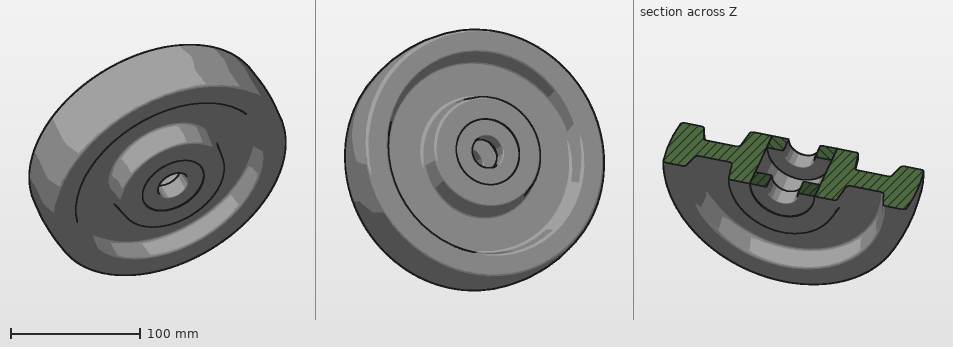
import cadquery as cq
import math

WHEEL_RADIUS = 100.0
RIM_HALF_WIDTH = 25.0
SHOULDER_RADIUS = 98.0
RIM_EDGE_FILLET = 3.0

WEB_HALF_THICKNESS = 10.0
RECESS_MOUTH_RADIUS = 79.8
RECESS_FLOOR_RADIUS = 75.5
RECESS_FILLET = 3.0

HUB_HALF_LENGTH = 30.0
HUB_FACE_RADIUS = 43.5
HUB_ROOT_RADIUS = 46.5
HUB_EDGE_FILLET = 2.5
HUB_ROOT_FILLET = 3.0

BEARING_RADIUS = 26.0
BEARING_LENGTH = 15.0
BEARING_BORE_RADIUS = 12.5
BEARING_EDGE_FILLET = 1.0


def revolve_about_x(profile):
    """Revolve a closed profile, with X along the axis and Y as radius."""
    return profile.close().revolve(360, (0, 0, 0), (1, 0, 0))


def circle_edges(wheel, half_width, radius):
    """Pick the circular edges of the given radius at both +X and -X."""
    tolerance = 0.02

    def matches(edge):
        return (
            edge.geomType() == "CIRCLE"
            and math.isclose(abs(edge.Center().x), half_width, abs_tol=tolerance)
            and math.isclose(edge.radius(), radius, abs_tol=tolerance)
        )

    return wheel.newObject([edge for edge in wheel.edges().vals() if matches(edge)])


def make_wheel():
    wheel = revolve_about_x(
        cq.Workplane("XY")
        .moveTo(-HUB_HALF_LENGTH, 0)
        .lineTo(-HUB_HALF_LENGTH, HUB_FACE_RADIUS)
        .lineTo(-WEB_HALF_THICKNESS, HUB_ROOT_RADIUS)
        .lineTo(-WEB_HALF_THICKNESS, RECESS_FLOOR_RADIUS)
        .lineTo(-RIM_HALF_WIDTH, RECESS_MOUTH_RADIUS)
        .lineTo(-RIM_HALF_WIDTH, SHOULDER_RADIUS)
        .threePointArc((0, WHEEL_RADIUS), (RIM_HALF_WIDTH, SHOULDER_RADIUS))
        .lineTo(RIM_HALF_WIDTH, RECESS_MOUTH_RADIUS)
        .lineTo(WEB_HALF_THICKNESS, RECESS_FLOOR_RADIUS)
        .lineTo(WEB_HALF_THICKNESS, HUB_ROOT_RADIUS)
        .lineTo(HUB_HALF_LENGTH, HUB_FACE_RADIUS)
        .lineTo(HUB_HALF_LENGTH, 0)
    )
    rounded_circles = [
        (RIM_HALF_WIDTH, SHOULDER_RADIUS, RIM_EDGE_FILLET),
        (RIM_HALF_WIDTH, RECESS_MOUTH_RADIUS, RECESS_FILLET),
        (WEB_HALF_THICKNESS, RECESS_FLOOR_RADIUS, RECESS_FILLET),
        (WEB_HALF_THICKNESS, HUB_ROOT_RADIUS, HUB_ROOT_FILLET),
        (HUB_HALF_LENGTH, HUB_FACE_RADIUS, HUB_EDGE_FILLET),
    ]
    for half_width, radius, fillet in rounded_circles:
        wheel = circle_edges(wheel, half_width, radius).fillet(fillet)
    return wheel.cut(make_hub_bore())


def make_hub_bore():
    """Plain cylinder removed through the hub to seat both bearings."""
    return (
        cq.Workplane("YZ")
        .workplane(offset=-HUB_HALF_LENGTH)
        .circle(BEARING_RADIUS)
        .extrude(2 * HUB_HALF_LENGTH)
    )


def make_bearing(side):
    """Bearing ring at the +X (side = 1) or -X (side = -1) end of the hub."""
    ring = (
        cq.Workplane("YZ")
        .workplane(offset=side * (HUB_HALF_LENGTH - BEARING_LENGTH))
        .circle(BEARING_RADIUS)
        .circle(BEARING_BORE_RADIUS)
        .extrude(side * BEARING_LENGTH)
    )
    return ring.faces("|X").edges().fillet(BEARING_EDGE_FILLET)


wheel = make_wheel()
bearings = [make_bearing(side) for side in (-1, 1)]

result = cq.Compound.makeCompound([wheel.val(), *[bearing.val() for bearing in bearings]])